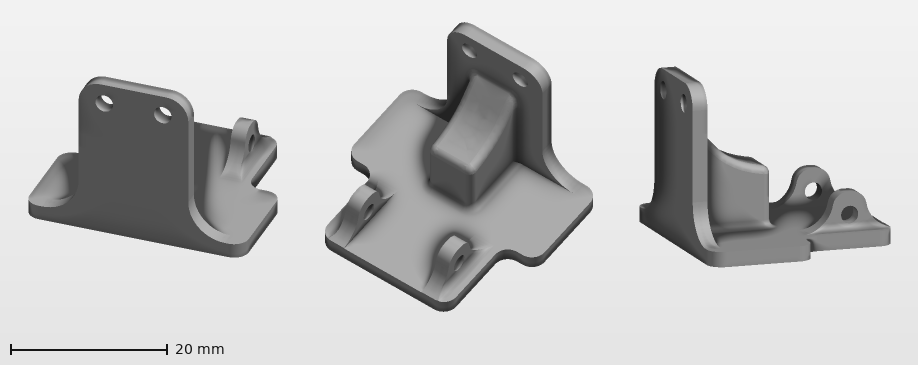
import cadquery as cq
import math

thickness = 2.0
base_width = 30.0
base_depth = 26.4
tail_width = 20.2
step_y = 13.9
base_corner_radius = 2.0

upright_width = 15.0
upright_height = 22.0
upright_top_radius = 3.0
upright_foot_radius = 5.0
upright_hole_diameter = 2.4
upright_hole_spacing = 8.0
upright_hole_z = 19.25

rib_width = 7.0
rib_front_y = 12.0
rib_low_z = 9.9
rib_high_z = 15.75
rib_fillet_radius = 1.0

rib_front_pull = 7.0
rib_front_slope = 0.107
rib_back_pull = 2.5
rib_back_slope = 0.714

lug_inner_x = 6.1
lug_thickness = 2.0
lug_center_y = 21.0
lug_top_z = 7.0
lug_flat_half_width = 0.3
lug_crown_radius = 2.0
lug_flare_radius = 4.0
lug_fillet_radius = 1.0
lug_hole_diameter = 2.3
lug_hole_z = 4.0

selection_margin = 0.1


def make_base(height):
    """T-shaped outline with rounded corners, extruded to the given height."""
    half_base = base_width / 2
    half_tail = tail_width / 2
    outline = [
        (-half_base, 0),
        (half_base, 0),
        (half_base, step_y),
        (half_tail, step_y),
        (half_tail, base_depth),
        (-half_tail, base_depth),
        (-half_tail, step_y),
        (-half_base, step_y),
    ]
    plate = cq.Workplane("XY").polyline(outline).close().extrude(height)
    return plate.edges("|Z").fillet(base_corner_radius)


def make_upright():
    half_width = upright_width / 2
    half_foot = half_width + upright_foot_radius
    foot_top = thickness + upright_foot_radius
    shoulder = upright_height - upright_top_radius
    half_top = half_width - upright_top_radius
    diagonal = math.sqrt(0.5)
    foot_inset = upright_foot_radius * (1 - diagonal)
    crown_inset = upright_top_radius * (1 - diagonal)
    foot_mid = (half_width + foot_inset, thickness + foot_inset)
    crown_mid = (half_width - crown_inset, upright_height - crown_inset)
    plate = (
        cq.Workplane("XZ")
        .moveTo(-half_foot, 0)
        .lineTo(half_foot, 0)
        .lineTo(half_foot, thickness)
        .threePointArc(foot_mid, (half_width, foot_top))
        .lineTo(half_width, shoulder)
        .threePointArc(crown_mid, (half_top, upright_height))
        .lineTo(-half_top, upright_height)
        .threePointArc((-crown_mid[0], crown_mid[1]), (-half_width, shoulder))
        .lineTo(-half_width, foot_top)
        .threePointArc((-foot_mid[0], foot_mid[1]), (-half_foot, thickness))
        .close()
        .extrude(-thickness)
    )
    hole_offset = upright_hole_spacing / 2
    holes = (
        cq.Workplane("XZ")
        .pushPoints([(-hole_offset, upright_hole_z), (hole_offset, upright_hole_z)])
        .circle(upright_hole_diameter / 2)
        .extrude(-thickness)
    )
    return plate.cut(holes)


def make_rib():
    """Rib with a nearly level front end whose top sweeps up to meet the upright."""
    front_top = (rib_front_y, rib_low_z)
    front_handle = (rib_front_y - rib_front_pull, rib_low_z + rib_front_pull * rib_front_slope)
    back_handle = (thickness + rib_back_pull, rib_high_z - rib_back_pull * rib_back_slope)
    back_top = (thickness, rib_high_z)
    rib = (
        cq.Workplane("YZ", origin=(-rib_width / 2, 0, 0))
        .moveTo(thickness, 0)
        .lineTo(rib_front_y, 0)
        .lineTo(*front_top)
        .bezier([front_top, front_handle, back_handle, back_top])
        .close()
        .extrude(rib_width)
    )
    rib = rib.edges("|Z and >Y").fillet(rib_fillet_radius)
    return rib.faces(">Y").edges(">Z").fillet(rib_fillet_radius)


def round_rib_root(body):
    """Blend the rib into the top of the base and the back of the upright."""
    half_reach = rib_width / 2 + selection_margin
    base_seam = cq.selectors.BoxSelector(
        (-half_reach, thickness - selection_margin, thickness - selection_margin),
        (half_reach, rib_front_y + selection_margin, thickness + selection_margin),
    )
    upright_seam = cq.selectors.BoxSelector(
        (-half_reach, thickness - selection_margin, thickness - selection_margin),
        (half_reach, thickness + selection_margin, upright_hole_z - upright_hole_diameter),
    )
    return body.edges(base_seam + upright_seam).fillet(rib_fillet_radius)


def make_lug_side_profile():
    """Lug seen along X: a rounded crown flaring tangentially into the base top."""
    crown_z = lug_top_z - lug_crown_radius
    flare_z = thickness + lug_flare_radius
    center_distance = lug_crown_radius + lug_flare_radius
    rise = flare_z - crown_z
    run = math.sqrt(center_distance**2 - rise**2)
    tangent_angle = math.atan2(rise, run)
    toe = lug_flat_half_width + run

    def crown_point(angle):
        y = lug_flat_half_width + lug_crown_radius * math.cos(angle)
        return y, crown_z + lug_crown_radius * math.sin(angle)

    def flare_point(angle):
        y = toe - lug_flare_radius * math.cos(angle)
        return y, flare_z - lug_flare_radius * math.sin(angle)

    crown_mid = crown_point((tangent_angle + math.pi / 2) / 2)
    joint = crown_point(tangent_angle)
    flare_mid = flare_point((tangent_angle + math.pi / 2) / 2)

    def mirrored(point):
        return -point[0], point[1]

    return (
        cq.Workplane("YZ", origin=(0, lug_center_y, 0))
        .moveTo(-toe, 0)
        .lineTo(toe, 0)
        .lineTo(toe, thickness)
        .threePointArc(flare_mid, joint)
        .threePointArc(crown_mid, (lug_flat_half_width, lug_top_z))
        .lineTo(-lug_flat_half_width, lug_top_z)
        .threePointArc(mirrored(crown_mid), mirrored(joint))
        .threePointArc(mirrored(flare_mid), (-toe, thickness))
        .close()
    )


def make_lug():
    """Lug on the +X side, with a concave root along its outer face."""
    outer_x = lug_inner_x + lug_thickness
    root_x = outer_x + lug_fillet_radius
    root_z = thickness + lug_fillet_radius
    inset = lug_fillet_radius * (1 - math.sqrt(0.5))
    cross_section = (
        cq.Workplane("XZ")
        .moveTo(lug_inner_x, 0)
        .lineTo(root_x, 0)
        .lineTo(root_x, thickness)
        .threePointArc((outer_x + inset, thickness + inset), (outer_x, root_z))
        .lineTo(outer_x, lug_top_z)
        .lineTo(lug_inner_x, lug_top_z)
        .close()
        .extrude(-2 * base_depth)
    )
    lug = make_lug_side_profile().extrude(root_x).intersect(cross_section)
    hole = (
        cq.Workplane("YZ")
        .center(lug_center_y, lug_hole_z)
        .circle(lug_hole_diameter / 2)
        .extrude(root_x)
    )
    return lug.intersect(make_base(lug_top_z)).cut(hole)


lug = make_lug()
body = make_base(thickness).union(make_upright()).union(make_rib())
body = round_rib_root(body)
result = body.union(lug).union(lug.mirror("YZ"))